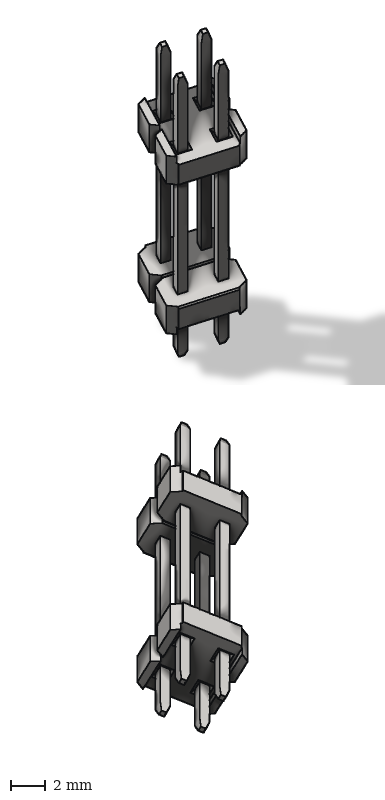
import cadquery as cq
import math

PITCH = 2.54
PINS_PER_SIDE = 2

BLOCK_LENGTH = PITCH * PINS_PER_SIDE
BLOCK_DEPTH = 5.0
BLOCK_HEIGHT = 2.5
RAIL_HEIGHT = 0.6
RAIL_THICKNESS = 0.52
NOTCH_DEPTH = 0.6
NOTCH_ROOT = 0.1
NOTCH_SLOPE = 30
NOTCH_MOUTH = NOTCH_ROOT + NOTCH_DEPTH * math.tan(math.radians(NOTCH_SLOPE))
GROOVE_DEPTH = 0.1

PIN_WIDTH = 0.64
PIN_LENGTH = 24.9
PIN_TIP_WIDTH = 0.34
PIN_TIP_LENGTH = 0.56
PIN_BELOW = 3.3
PIN_ABOVE = 5.72

FUNNEL_MOUTH = 1.02
FUNNEL_DEPTH = (FUNNEL_MOUTH - PIN_WIDTH) / 2

UPPER_BLOCK_TOP = PIN_LENGTH - PIN_BELOW - PIN_ABOVE

offsets = [PITCH * (i - (PINS_PER_SIDE - 1) / 2) for i in range(PINS_PER_SIDE)]
pin_centers = [(x, y) for x in offsets for y in offsets]


def square_frustum(center, z, bottom_width, top_width, height):
    """Square frustum standing on the level z."""
    return (
        cq.Workplane("XY", origin=(*center, z))
        .rect(bottom_width, bottom_width)
        .workplane(offset=height)
        .rect(top_width, top_width)
        .loft(ruled=True)
    )


def make_notch(x, side):
    """Trapezoidal notch through the block height, opening toward side * Y."""
    outer_y = side * BLOCK_DEPTH / 2
    root_y = side * (BLOCK_DEPTH / 2 - NOTCH_DEPTH)
    return (
        cq.Workplane("XY")
        .polyline([
            (x - NOTCH_MOUTH, outer_y),
            (x - NOTCH_ROOT, root_y),
            (x + NOTCH_ROOT, root_y),
            (x + NOTCH_MOUTH, outer_y),
        ])
        .close()
        .extrude(BLOCK_HEIGHT)
    )


def make_groove(x):
    """V-groove along Y, cut into the flat face on Z = 0."""
    return (
        cq.Workplane("XZ", origin=(x, 0, 0))
        .polyline([(-GROOVE_DEPTH, 0), (0, GROOVE_DEPTH), (GROOVE_DEPTH, 0)])
        .close()
        .extrude(BLOCK_DEPTH / 2, both=True)
    )


def make_block():
    """Insulator with its flat face on Z = 0 and its rails pointing up."""
    block = cq.Workplane("XY").box(BLOCK_LENGTH, BLOCK_DEPTH, BLOCK_HEIGHT, centered=(True, True, False))

    floor_z = BLOCK_HEIGHT - RAIL_HEIGHT
    channel = (
        cq.Workplane("XY", origin=(0, 0, floor_z))
        .rect(BLOCK_LENGTH, BLOCK_DEPTH - 2 * RAIL_THICKNESS)
        .extrude(RAIL_HEIGHT)
    )
    block = block.cut(channel)

    for i in range(PINS_PER_SIDE + 1):
        x = i * PITCH - BLOCK_LENGTH / 2
        for side in (-1, 1):
            block = block.cut(make_notch(x, side))

    for i in range(1, PINS_PER_SIDE + 1):
        block = block.cut(make_groove(i * PITCH - BLOCK_LENGTH / 2))

    for center in pin_centers:
        funnel = square_frustum(center, floor_z - FUNNEL_DEPTH, PIN_WIDTH, FUNNEL_MOUTH, FUNNEL_DEPTH)
        block = block.cut(funnel)
    return block


def make_pin(center):
    """Square pin with a tapered tip at each end."""
    bottom_z = -PIN_BELOW
    shank_length = PIN_LENGTH - 2 * PIN_TIP_LENGTH
    shank_z = bottom_z + PIN_TIP_LENGTH
    lower_tip = square_frustum(center, bottom_z, PIN_TIP_WIDTH, PIN_WIDTH, PIN_TIP_LENGTH)
    shank = cq.Workplane("XY", origin=(*center, shank_z)).rect(PIN_WIDTH, PIN_WIDTH).extrude(shank_length)
    upper_tip = square_frustum(center, shank_z + shank_length, PIN_WIDTH, PIN_TIP_WIDTH, PIN_TIP_LENGTH)
    return lower_tip.union(shank).union(upper_tip)


block = make_block()
upper_block = block.translate((0, 0, UPPER_BLOCK_TOP - BLOCK_HEIGHT))
lower_block = block.mirror("XY").translate((0, 0, BLOCK_HEIGHT))

result = upper_block
for center in pin_centers:
    result = result.union(make_pin(center))
result = result.union(lower_block)